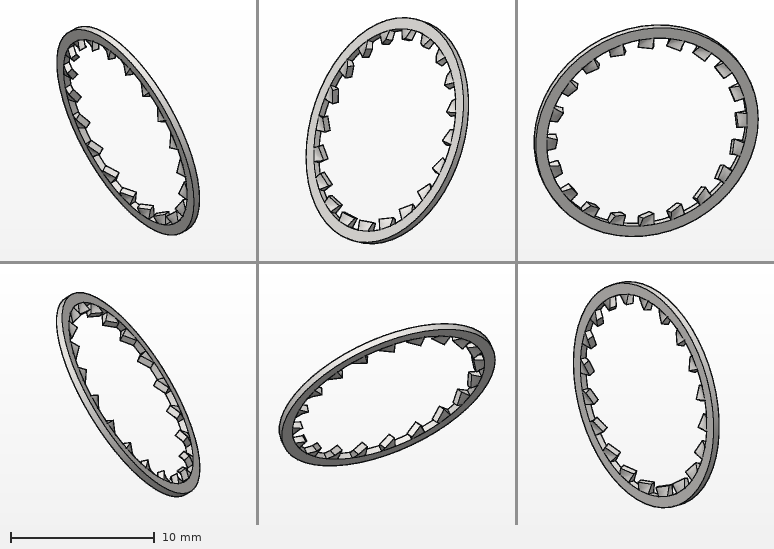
import cadquery as cq

outer_diameter = 16.0
rim_width = 0.8
thickness = 0.5
outer_radius = outer_diameter / 2
inner_radius = outer_radius - rim_width

tooth_count = 20
tooth_width = 1.04
tooth_length = 0.7
tooth_inset = 0.003
tooth_twist = 28.5
root_overlap = 0.02

pitch_angle = 360 / tooth_count
tooth_thickness = thickness - 2 * tooth_inset
root_radius = inner_radius + root_overlap
tip_radius = inner_radius - tooth_length


def make_ring():
    """Flat annulus centred on the XZ plane."""
    return (
        cq.Workplane("XZ", origin=(0, thickness / 2, 0))
        .circle(outer_radius)
        .circle(inner_radius)
        .extrude(thickness)
    )


def tooth_section(height, twist):
    """Rectangular tooth outline at a given height, turned about the Z axis."""
    half_width = tooth_width / 2
    half_thickness = tooth_thickness / 2
    corners = [
        cq.Vector(-half_width, -half_thickness, height),
        cq.Vector(half_width, -half_thickness, height),
        cq.Vector(half_width, half_thickness, height),
        cq.Vector(-half_width, half_thickness, height),
    ]
    outline = cq.Wire.makePolygon(corners, close=True)
    return outline.rotate(cq.Vector(0, 0, 0), cq.Vector(0, 0, 1), twist)


def make_tooth():
    """Tooth at the top of the ring, twisting evenly from root to tip."""
    root = tooth_section(root_radius, 0)
    tip = tooth_section(tip_radius, -tooth_twist)
    return cq.Workplane(cq.Solid.makeLoft([root, tip], True))


result = make_ring()
tooth = make_tooth()
for index in range(tooth_count):
    placed_tooth = tooth.rotate((0, 0, 0), (0, 1, 0), index * pitch_angle)
    result = result.union(placed_tooth)